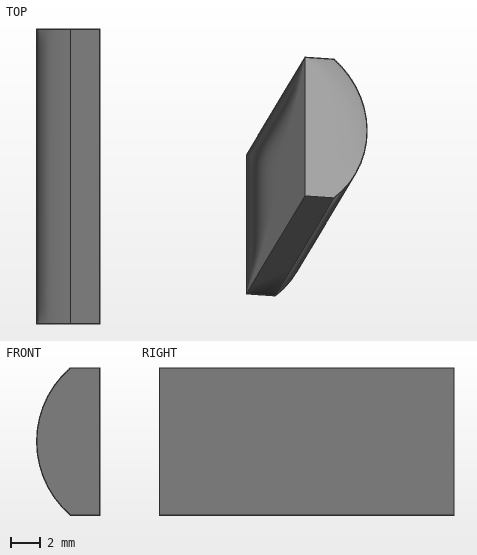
import cadquery as cq

length = 20.0
height = 10.0
width = 4.3
edge_thickness = 2.0

half_height = height / 2
back_x = width / 2
crown_x = -width / 2
arc_end_x = back_x - edge_thickness

profile = (
    cq.Workplane("XZ")
    .moveTo(back_x, -half_height)
    .lineTo(back_x, half_height)
    .lineTo(arc_end_x, half_height)
    .threePointArc((crown_x, 0), (arc_end_x, -half_height))
    .close()
)

result = profile.extrude(length / 2, both=True)